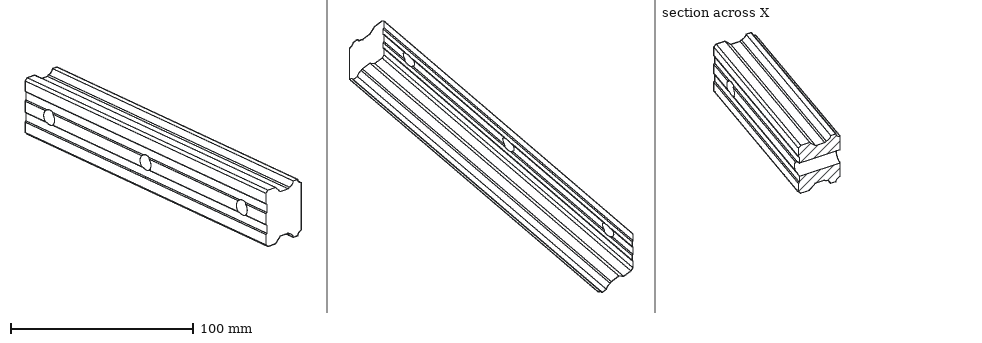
import cadquery as cq

length = 200.0
depth = 26.0
height = 34.0

base_chamfer = 1.5
groove_center_z = 6.3
groove_mouth = 6.0
groove_floor = 4.8
groove_depth = 0.6

foot_land_end = 7.0
waist_start = 10.6
waist_end = 16.3
waist_half = 13.4
raceway_start_y = 17.2
raceway_start_z = 14.1
raceway_end_y = 20.0
head_land_end = 23.3
head_half = 14.2
raceway_radius = 3.3

hole_diameter = 9.0
hole_pitch = 80.0
hole_count = 3

base_y = -depth / 2
half_height = height / 2


def upper_half():
    """Half of the rail section above the mid-plane, extruded along X."""
    section = (
        cq.Workplane("YZ")
        .moveTo(base_y, 0)
        .lineTo(base_y, half_height - base_chamfer)
        .lineTo(base_y + base_chamfer, half_height)
        .lineTo(base_y + foot_land_end, half_height)
        .lineTo(base_y + waist_start, waist_half)
        .lineTo(base_y + waist_end, waist_half)
        .lineTo(base_y + raceway_start_y, raceway_start_z)
        .radiusArc((base_y + raceway_end_y, half_height), -raceway_radius)
        .lineTo(base_y + head_land_end, half_height)
        .radiusArc((base_y + depth, head_half), -raceway_radius)
        .lineTo(base_y + depth, 0)
        .close()
    )
    return section.extrude(length / 2, both=True)


def base_groove(center_z):
    """Shallow groove with sloping sides along the base face."""
    floor_y = base_y + groove_depth
    return (
        cq.Workplane("YZ")
        .polyline([
            (base_y, center_z - groove_mouth / 2),
            (base_y, center_z + groove_mouth / 2),
            (floor_y, center_z + groove_floor / 2),
            (floor_y, center_z - groove_floor / 2),
        ])
        .close()
        .extrude(length / 2, both=True)
    )


def mounting_holes():
    """Row of through holes along Y."""
    return (
        cq.Workplane("XZ")
        .rarray(hole_pitch, 1, hole_count, 1)
        .circle(hole_diameter / 2)
        .extrude(depth, both=True)
    )


half_rail = upper_half()
rail = half_rail.union(half_rail.mirror("XY")).clean()
for side in (-1, 1):
    rail = rail.cut(base_groove(side * groove_center_z))

result = rail.cut(mounting_holes())